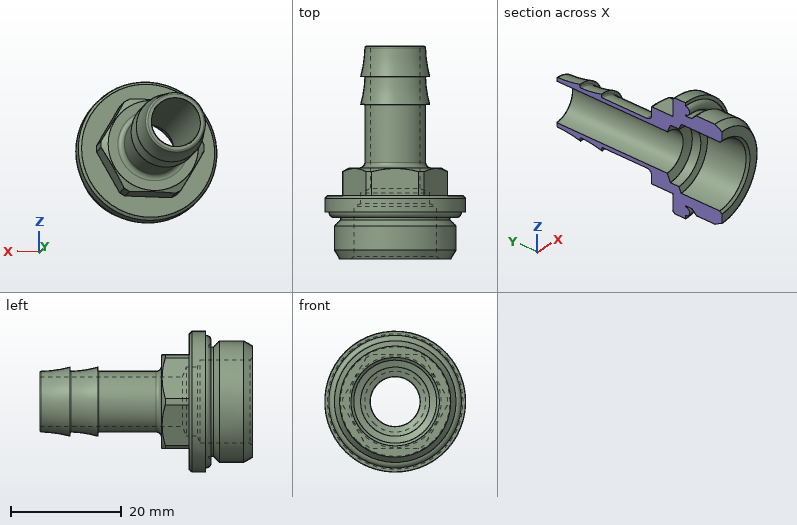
import math

import cadquery as cq

total_length = 38.5

thread_diameter = 22.0
thread_tip_diameter = 20.1
thread_tip_angle = 30.0
thread_crest_end = 6.0
neck_diameter = 19.8

bead_diameter = 24.0
bead_section_diameter = 2.0
flange_diameter = 25.5
flange_start = 8.5
flange_end = 11.5
flange_chamfer = 0.5

hex_sides = 6
hex_across_flats = 17.0
hex_turned_diameter = 19.0
hex_face_diameter = 16.6
hex_chamfer_angle = 30.0
hex_end = 16.5

tail_diameter = 11.0
tail_root_fillet = 1.0
tail_tip_fillet = 0.35
barb_diameter = 12.5
barb_starts = (28.0, 33.0)
barb_root_fillet = 0.2
barb_sag = 0.15

bore_diameter = 9.0
counterbore_diameter = 15.0
counterbore_mouth_diameter = 16.0
middle_bore_diameter = 12.5
counterbore_depth = 9.5
middle_bore_depth = 12.0
drill_point_angle = 135.0

MID_FILLET = math.sqrt(0.5)


def revolve_about_y(profile):
    """Full turn of an XY outline about the part axis."""
    return profile.revolve(360, (0, 0, 0), (0, 1, 0))


def make_thread_and_flange():
    """Threaded end, relief neck and flange, revolved about Y."""
    thread_radius = thread_diameter / 2
    tip_radius = thread_tip_diameter / 2
    neck_radius = neck_diameter / 2
    flange_radius = flange_diameter / 2
    tip_length = (thread_radius - tip_radius) / math.tan(math.radians(thread_tip_angle))
    crest_to_neck = thread_radius - neck_radius
    profile = (
        cq.Workplane("XY")
        .lineTo(tip_radius, 0)
        .lineTo(thread_radius, tip_length)
        .lineTo(thread_radius, thread_crest_end)
        .lineTo(neck_radius, thread_crest_end + crest_to_neck)
        .lineTo(neck_radius, flange_start)
        .lineTo(flange_radius, flange_start)
        .lineTo(flange_radius, flange_end - flange_chamfer)
        .lineTo(flange_radius - flange_chamfer, flange_end)
        .lineTo(0, flange_end)
        .close()
    )
    return revolve_about_y(profile)


def make_seal_bead():
    """Ring of round section, half sunk into the thread side of the flange."""
    section_radius = bead_section_diameter / 2
    circle_radius = bead_diameter / 2 - section_radius
    return revolve_about_y(
        cq.Workplane("XY")
        .moveTo(circle_radius, flange_start)
        .circle(section_radius)
    )


def make_hexagon():
    """Hexagon with flats facing +Z and -Z, turned corners and a chamfered end."""
    turned_radius = hex_turned_diameter / 2
    face_radius = hex_face_diameter / 2
    chamfer_length = (turned_radius - face_radius) * math.tan(math.radians(hex_chamfer_angle))
    corner_diameter = hex_across_flats / math.cos(math.pi / hex_sides)
    prism = (
        cq.Workplane("XZ", origin=(0, hex_end, 0))
        .polygon(hex_sides, corner_diameter)
        .extrude(hex_end - flange_end)
    )
    turned_envelope = revolve_about_y(
        cq.Workplane("XY")
        .moveTo(0, flange_end)
        .lineTo(turned_radius, flange_end)
        .lineTo(turned_radius, hex_end - chamfer_length)
        .lineTo(face_radius, hex_end)
        .lineTo(0, hex_end)
        .close()
    )
    return prism.intersect(turned_envelope)


def make_hose_tail():
    """Hose tail with a filleted root, flared barbs and a rounded tip."""
    tail_radius = tail_diameter / 2
    barb_radius = barb_diameter / 2
    root_inset = tail_root_fillet * (1 - MID_FILLET)
    step_inset = barb_root_fillet * (1 - MID_FILLET)
    tip_inset = tail_tip_fillet * (1 - MID_FILLET)
    barb_ends = [start - barb_root_fillet for start in barb_starts[1:]]
    barb_ends.append(total_length - tail_tip_fillet)

    profile = (
        cq.Workplane("XY")
        .moveTo(0, hex_end)
        .lineTo(tail_radius + tail_root_fillet, hex_end)
        .threePointArc(
            (tail_radius + root_inset, hex_end + root_inset),
            (tail_radius, hex_end + tail_root_fillet),
        )
        .lineTo(tail_radius, barb_starts[0] - barb_root_fillet)
    )
    for start, end in zip(barb_starts, barb_ends):
        barb_middle = ((tail_radius + barb_radius) / 2 - barb_sag, (start + end) / 2)
        profile = (
            profile
            .threePointArc(
                (tail_radius + step_inset, start - step_inset),
                (tail_radius + barb_root_fillet, start),
            )
            .lineTo(barb_radius, start)
            .threePointArc(barb_middle, (tail_radius, end))
        )
    profile = (
        profile
        .threePointArc(
            (tail_radius - tip_inset, total_length - tip_inset),
            (tail_radius - tail_tip_fillet, total_length),
        )
        .lineTo(0, total_length)
        .close()
    )
    return revolve_about_y(profile)


def make_bore():
    """Through bore, stepped up by two drilled counterbores with conical bottoms."""
    bore_radius = bore_diameter / 2
    middle_radius = middle_bore_diameter / 2
    counterbore_radius = counterbore_diameter / 2
    mouth_radius = counterbore_mouth_diameter / 2
    mouth_chamfer = mouth_radius - counterbore_radius
    drill_slope = 1 / math.tan(math.radians(drill_point_angle / 2))
    return revolve_about_y(
        cq.Workplane("XY")
        .lineTo(mouth_radius, 0)
        .lineTo(counterbore_radius, mouth_chamfer)
        .lineTo(counterbore_radius, counterbore_depth)
        .lineTo(middle_radius, counterbore_depth + (counterbore_radius - middle_radius) * drill_slope)
        .lineTo(middle_radius, middle_bore_depth)
        .lineTo(bore_radius, middle_bore_depth + (middle_radius - bore_radius) * drill_slope)
        .lineTo(bore_radius, total_length)
        .lineTo(0, total_length)
        .close()
    )


body = make_thread_and_flange().union(make_hexagon()).union(make_hose_tail())
result = body.union(make_seal_bead()).cut(make_bore())